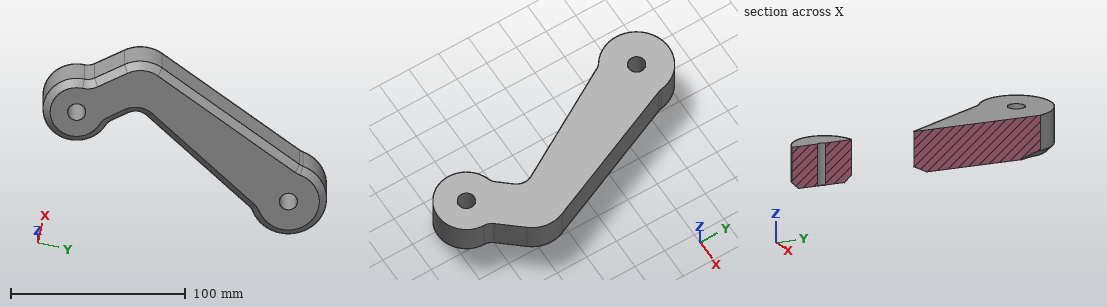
import cadquery as cq
import math

total_length = 171.8
thickness = 25.5
bottom_chamfer = 4.1
hole_diameter = 10.3

small_boss = (0.0, 0.0)
small_boss_radius = 19.2
large_boss_radius = 21.8
large_boss = (-25.6, total_length - small_boss_radius - large_boss_radius)

inner_corner = (9.1, 34.2)
outer_corner = (41.5, 29.9)
inner_elbow_radius = 9.5
outer_elbow_radius = 20.6

boss_blend_radius = 8.6

large_inner_normal, large_inner_offset = 210.4, 18.9
large_outer_normal, large_outer_offset = 23.8, 20.8
small_inner_normal, small_inner_offset = 140.2, 15.0
small_outer_normal, small_outer_offset = 320.0, 12.9


def edge_end(center, normal_angle, offset):
    """Point of an arm edge nearest to a boss centre; it lies inside the boss."""
    angle = math.radians(normal_angle)
    return (center[0] + offset * math.cos(angle), center[1] + offset * math.sin(angle))


def edge_joint(end, corner, offset, radius):
    """Point where the arm edge from end to corner leaves the boss circle."""
    along = math.sqrt(radius**2 - offset**2) / math.dist(end, corner)
    return (end[0] + along * (corner[0] - end[0]), end[1] + along * (corner[1] - end[1]))


def round_corner(body, point, radius):
    """Fillet the upright edge at a point of the outline."""
    nearest = cq.NearestToPointSelector((*point, thickness / 2))
    return body.edges("|Z").edges(nearest).fillet(radius)


def boss(center, radius):
    return cq.Workplane("XY").center(*center).circle(radius).extrude(thickness)


large_inner_end = edge_end(large_boss, large_inner_normal, large_inner_offset)
large_outer_end = edge_end(large_boss, large_outer_normal, large_outer_offset)
small_inner_end = edge_end(small_boss, small_inner_normal, small_inner_offset)
small_outer_end = edge_end(small_boss, small_outer_normal, small_outer_offset)

arm_outline = [
    large_boss,
    large_inner_end,
    inner_corner,
    small_inner_end,
    small_boss,
    small_outer_end,
    outer_corner,
    large_outer_end,
]
arm = cq.Workplane("XY").polyline(arm_outline).close().extrude(thickness)
arm = round_corner(arm, inner_corner, inner_elbow_radius)
arm = round_corner(arm, outer_corner, outer_elbow_radius)

body = arm.union(boss(small_boss, small_boss_radius)).union(boss(large_boss, large_boss_radius))
joints = [
    edge_joint(large_inner_end, inner_corner, large_inner_offset, large_boss_radius),
    edge_joint(large_outer_end, outer_corner, large_outer_offset, large_boss_radius),
    edge_joint(small_inner_end, inner_corner, small_inner_offset, small_boss_radius),
    edge_joint(small_outer_end, outer_corner, small_outer_offset, small_boss_radius),
]
for joint in joints:
    body = round_corner(body, joint, boss_blend_radius)

body = body.faces("<Z").edges().chamfer(bottom_chamfer)
holes = cq.Workplane("XY").pushPoints([small_boss, large_boss]).circle(hole_diameter / 2).extrude(thickness)
result = body.cut(holes)